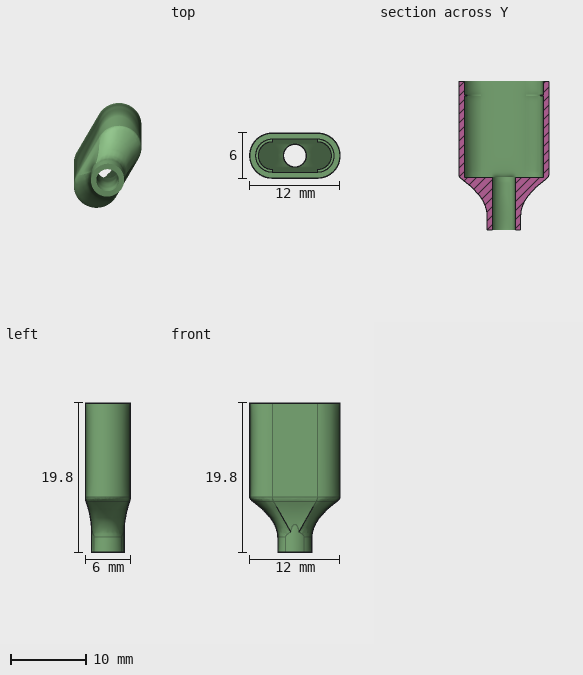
import cadquery as cq

BODY_LENGTH = 12.0
BODY_WIDTH = 6.0
TOTAL_HEIGHT = 19.8
BODY_FLAT = BODY_LENGTH - BODY_WIDTH

NECK_HEIGHT = 2.0
NECK_LENGTH = 4.54
NECK_WIDTH = 4.24
TUBE_DIAMETER = 4.4

BODY_BASE_Z = 7.05
FLARE_SECTIONS = 5
LENGTH_POWER = 2.0
WIDTH_POWER = 2.2

SHOULDER_HALF_HEIGHT = 0.3
SHOULDER_SECTIONS = 4
SHOULDER_BOTTOM_Z = BODY_BASE_Z - SHOULDER_HALF_HEIGHT
SHOULDER_TOP_Z = BODY_BASE_Z + SHOULDER_HALF_HEIGHT

RIM_WALL = 0.8
RIB_WIDTH = 0.36
RIB_HEIGHT = 0.2
RIB_DEPTH = 1.8
BORE_DIAMETER = 3.0

CAVITY_WIDTH = BODY_WIDTH - 2 * RIM_WALL
CAVITY_LENGTH = BODY_LENGTH - 2 * RIM_WALL
CAVITY_FLOOR_Z = BODY_BASE_Z


def obround(length, width, bottom_z, top_z):
    """Upright obround prism with its long axis along X."""
    return (
        cq.Workplane("XY", origin=(0, 0, bottom_z))
        .slot2D(length, width)
        .extrude(top_z - bottom_z)
    )


def obround_section(half_length, half_width, half_flat, z):
    """Closed outline at height z: two flats along X joined by two end arcs."""
    front_left = cq.Vector(-half_flat, -half_width, z)
    front_right = cq.Vector(half_flat, -half_width, z)
    back_right = cq.Vector(half_flat, half_width, z)
    back_left = cq.Vector(-half_flat, half_width, z)
    right_tip = cq.Vector(half_length, 0, z)
    left_tip = cq.Vector(-half_length, 0, z)
    return cq.Wire.assembleEdges(
        [
            cq.Edge.makeLine(front_left, front_right),
            cq.Edge.makeThreePointArc(front_right, right_tip, back_right),
            cq.Edge.makeLine(back_right, back_left),
            cq.Edge.makeThreePointArc(back_left, left_tip, front_left),
        ]
    )


def blend(start, end, fraction):
    return start + (end - start) * fraction


def flare_sizes(z):
    """Half length, half width and half flat of the unrounded flare at height z."""
    rise = (z - NECK_HEIGHT) / (BODY_BASE_Z - NECK_HEIGHT)
    half_length = blend(NECK_LENGTH, BODY_LENGTH, rise**LENGTH_POWER) / 2
    half_width = blend(NECK_WIDTH, BODY_WIDTH, rise**WIDTH_POWER) / 2
    half_flat = blend(NECK_LENGTH - NECK_WIDTH, BODY_FLAT, rise) / 2
    return half_length, half_width, half_flat


def loft_sections(section_at, count):
    """Smooth loft through sections taken at even fractions from 0 to 1."""
    sections = [section_at(step / (count - 1)) for step in range(count)]
    return cq.Workplane("XY").add(cq.Solid.makeLoft(sections))


def make_flare():
    def section_at(fraction):
        z = blend(NECK_HEIGHT, SHOULDER_BOTTOM_Z, fraction)
        return obround_section(*flare_sizes(z), z)

    return loft_sections(section_at, FLARE_SECTIONS)


def make_shoulder():
    """Rounded shoulder whose profile is a parabola running from the flare into the upright wall."""
    bottom_sizes = flare_sizes(SHOULDER_BOTTOM_Z)
    top_sizes = (BODY_LENGTH / 2, BODY_WIDTH / 2, BODY_FLAT / 2)

    def section_at(fraction):
        z = blend(SHOULDER_BOTTOM_Z, SHOULDER_TOP_Z, fraction)
        remaining = (1 - fraction) ** 2
        sizes = [blend(top, bottom, remaining) for top, bottom in zip(top_sizes, bottom_sizes)]
        return obround_section(*sizes, z)

    return loft_sections(section_at, SHOULDER_SECTIONS)


def make_outside():
    body = obround(BODY_LENGTH, BODY_WIDTH, SHOULDER_TOP_Z, TOTAL_HEIGHT)
    neck = obround(NECK_LENGTH, NECK_WIDTH, 0, NECK_HEIGHT)
    tube = cq.Workplane("XY").circle(TUBE_DIAMETER / 2).extrude(SHOULDER_BOTTOM_Z)
    return body.union(make_shoulder()).union(make_flare()).union(neck).union(tube)


def make_snap_ribs():
    """Thin bands standing inward from both rounded ends of the cavity."""
    top_z = TOTAL_HEIGHT - RIB_DEPTH
    bottom_z = top_z - RIB_HEIGHT
    band = obround(CAVITY_LENGTH, CAVITY_WIDTH, bottom_z, top_z)
    opening = obround(CAVITY_LENGTH - 2 * RIB_WIDTH, CAVITY_WIDTH - 2 * RIB_WIDTH, bottom_z, top_z)
    straight_part = (
        cq.Workplane("XY", origin=(0, 0, bottom_z))
        .rect(BODY_FLAT, CAVITY_WIDTH)
        .extrude(RIB_HEIGHT)
    )
    return band.cut(opening).cut(straight_part)


def make_cavity():
    """Obround cavity open at the top, less the ribs left standing on its ends."""
    return obround(CAVITY_LENGTH, CAVITY_WIDTH, CAVITY_FLOOR_Z, TOTAL_HEIGHT).cut(make_snap_ribs())


def make_bore():
    return cq.Workplane("XY").circle(BORE_DIAMETER / 2).extrude(TOTAL_HEIGHT)


result = make_outside().cut(make_cavity()).cut(make_bore())